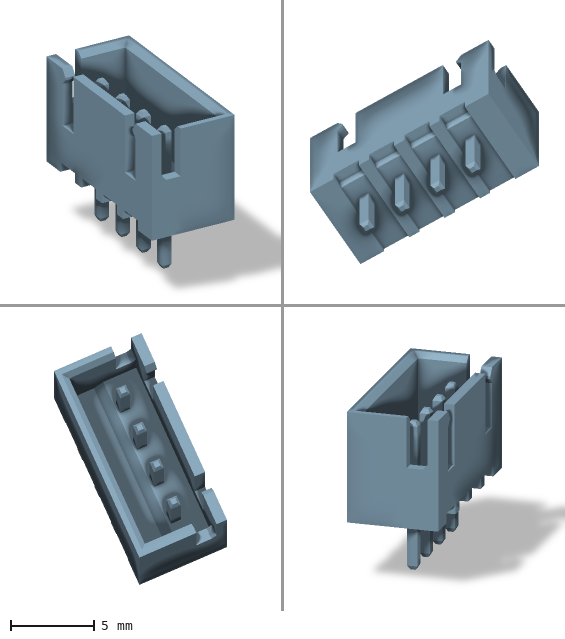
import cadquery as cq


width = 12.6
depth = 5.75
height = 6.99
end_wall = 0.72
long_wall = 0.68
rim_chamfer = 0.34
floor_height = 2.0
inner_width = width - 2 * end_wall
cavity_back = depth - long_wall

ramp_start = 2.84
ramp_drop = 0.6

end_slot_back = 2.0
end_slot_depth = 3.18
end_slot_chamfer = 0.33

front_slot_inner = 3.07
front_slot_outer = 4.36
front_slot_depth = 3.8
hook_reach = 0.34
hook_top_depth = 0.48
hook_tip_height = 0.16
hook_bottom_depth = 1.01

notch_width = 1.78
notch_height = 0.3
notch_front_height = 0.64
notch_ramp_length = 0.19

pin_count = 4
pin_pitch = 2.5
pin_size = 0.64
pin_tip_size = 0.33
pin_tip_length = 0.28
pin_y = 2.35
pin_top = 5.98
pin_bottom = -3.4

pin_positions = [(i - (pin_count - 1) / 2) * pin_pitch for i in range(pin_count)]


def prism_along_x(profile, x_start, length):
    """Extrude a closed (y, z) profile along X."""
    return cq.Workplane("YZ", origin=(x_start, 0, 0)).polyline(profile).close().extrude(length)


def prism_along_y(profile, y_start, length):
    """Extrude a closed (x, z) profile toward +Y."""
    return cq.Workplane("XZ", origin=(0, y_start, 0)).polyline(profile).close().extrude(-length)


def make_cavity():
    """Open-topped cavity whose floor drops down a ramp toward the back wall."""
    low_floor = floor_height - ramp_drop
    profile = [
        (long_wall, height),
        (long_wall, floor_height),
        (ramp_start, floor_height),
        (ramp_start + ramp_drop, low_floor),
        (cavity_back, low_floor),
        (cavity_back, height),
    ]
    return prism_along_x(profile, -inner_width / 2, inner_width)


def make_rim_flare():
    """45 degree flare of the cavity mouth at the end walls and the back wall, not at the front wall."""
    flare_width = inner_width + 2 * rim_chamfer
    flare_length = cavity_back + rim_chamfer - long_wall
    both_halves = (
        cq.Workplane("XY", origin=(0, long_wall, height))
        .rect(flare_width, 2 * flare_length)
        .extrude(-rim_chamfer, taper=45)
    )
    back_half = cq.Workplane("XY", origin=(0, long_wall, 0)).box(
        flare_width, flare_length, height, centered=(True, False, False)
    )
    return both_halves.intersect(back_half)


def make_end_slot():
    """Slot through both end walls, chamfered where its bottom meets the front wall."""
    bottom = height - end_slot_depth
    profile = [
        (long_wall, height),
        (long_wall, bottom + end_slot_chamfer),
        (long_wall + end_slot_chamfer, bottom),
        (end_slot_back, bottom),
        (end_slot_back, height),
    ]
    return prism_along_x(profile, -width / 2, width)


def make_front_slot(side):
    """Slot through the front wall; side is -1 or 1. The hook narrows it near the top."""
    outer = side * front_slot_outer
    inner = side * front_slot_inner
    hook_tip = side * (front_slot_outer - hook_reach)
    profile = [
        (outer, height),
        (hook_tip, height - hook_top_depth),
        (hook_tip, height - hook_top_depth - hook_tip_height),
        (outer, height - hook_bottom_depth),
        (outer, height - front_slot_depth),
        (inner, height - front_slot_depth),
        (inner, height),
    ]
    return prism_along_y(profile, 0, long_wall)


def make_notch(x):
    """Notch from front to back, its ceiling stepping down a steep ramp behind the front wall."""
    profile = [
        (0, 0),
        (0, notch_front_height),
        (long_wall, notch_front_height),
        (long_wall + notch_ramp_length, notch_height),
        (depth, notch_height),
        (depth, 0),
    ]
    return prism_along_x(profile, x - notch_width / 2, notch_width)


def make_pin_hole(x):
    """Square hole through the housing floor that a pin fills."""
    return cq.Workplane("XY", origin=(x, pin_y, 0)).rect(pin_size, pin_size).extrude(height)


def make_housing():
    body = cq.Workplane("XY").box(width, depth, height, centered=(True, False, False))
    body = body.cut(make_cavity()).cut(make_rim_flare()).cut(make_end_slot())
    for side in (-1, 1):
        body = body.cut(make_front_slot(side))
    for x in pin_positions:
        body = body.cut(make_notch(x)).cut(make_pin_hole(x))
    return body


def make_pin(x):
    """Square pin with a tapered tip at each end."""
    shaft_bottom = pin_bottom + pin_tip_length
    shaft_top = pin_top - pin_tip_length
    pin = (
        cq.Workplane("XY", origin=(x, pin_y, shaft_bottom))
        .rect(pin_size, pin_size)
        .extrude(shaft_top - shaft_bottom)
    )
    for end_face in (">Z", "<Z"):
        pin = (
            pin.faces(end_face)
            .workplane(centerOption="CenterOfMass")
            .rect(pin_size, pin_size)
            .workplane(offset=pin_tip_length)
            .rect(pin_tip_size, pin_tip_size)
            .loft(combine=True)
        )
    return pin


housing = make_housing()
pins = [make_pin(x) for x in pin_positions]

result = cq.Compound.makeCompound([housing.val(), *[pin.val() for pin in pins]])